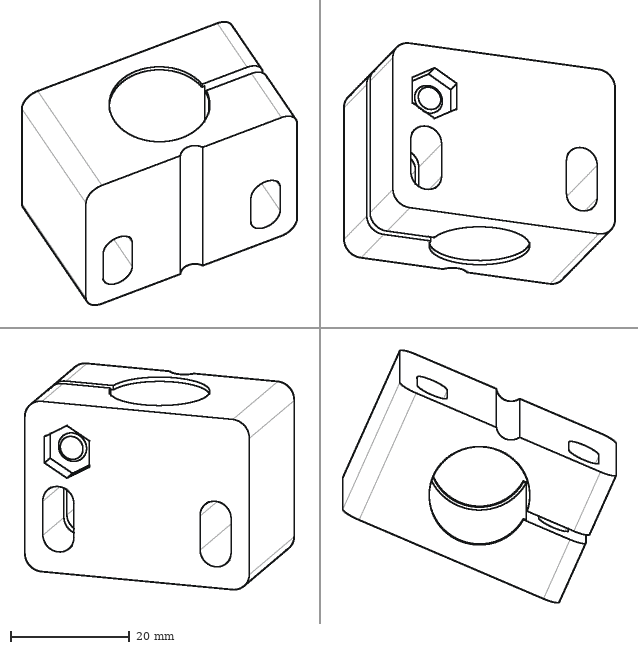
import cadquery as cq
import math

WIDTH = 24.0
LENGTH = 40.0
HEIGHT = 30.0
CORNER_RADIUS = 3.0

BORE_DIAMETER = 17.0
BORE_RELIEF_DIAMETER = 18.0
BORE_LIP = 0.75
GAP_WIDTH = 1.6

GROOVE_RADIUS = 2.5
GROOVE_DEPTH = 1.2

SLOT_SPACING = 28.0
SLOT_WIDTH = 5.5
SLOT_CENTRE_DISTANCE = 6.0
SLOT_HEIGHT_ABOVE_BASE = 9.5

SCREW_DIAMETER = 5.0
SCREW_CHAMFER = 0.5
SCREW_FROM_END = 7.5
SCREW_FROM_TOP = 8.5
NUT_ACROSS_FLATS = 8.0
NUT_POCKET_DEPTH = 3.0

LEFT_FACE = -WIDTH / 2
POCKET_FLOOR = LEFT_FACE + NUT_POCKET_DEPTH
SCREW_Y = LENGTH / 2 - SCREW_FROM_END
SCREW_Z = HEIGHT / 2 - SCREW_FROM_TOP


def block():
    return cq.Workplane("XY").box(WIDTH, LENGTH, HEIGHT).edges("|X").fillet(CORNER_RADIUS)


def clamp_bore():
    bore = cq.Workplane("XY").circle(BORE_DIAMETER / 2).extrude(HEIGHT / 2, both=True)
    relief = (
        cq.Workplane("XY")
        .circle(BORE_RELIEF_DIAMETER / 2)
        .extrude(HEIGHT / 2 - BORE_LIP, both=True)
    )
    return bore.union(relief)


def clamp_gap():
    """Split running from the bore axis out through the +Y end."""
    return cq.Workplane("XY").box(GAP_WIDTH, LENGTH / 2, HEIGHT, centered=(True, False, True))


def locating_groove():
    axis_x = WIDTH / 2 - GROOVE_DEPTH + GROOVE_RADIUS
    return cq.Workplane("XY").center(axis_x, 0).circle(GROOVE_RADIUS).extrude(HEIGHT / 2, both=True)


def mounting_slots():
    centre_z = SLOT_HEIGHT_ABOVE_BASE - HEIGHT / 2
    return (
        cq.Workplane("YZ")
        .pushPoints([(side * SLOT_SPACING / 2, centre_z) for side in (-1, 1)])
        .slot2D(SLOT_CENTRE_DISTANCE + SLOT_WIDTH, SLOT_WIDTH, 90)
        .extrude(WIDTH / 2, both=True)
    )


def nut_pocket():
    """Hexagonal pocket with its corners pointing up and down."""
    across_corners = NUT_ACROSS_FLATS / math.cos(math.pi / 6)
    return (
        cq.Workplane("YZ", origin=(LEFT_FACE, SCREW_Y, SCREW_Z))
        .transformed(rotate=(0, 0, 90))
        .polygon(6, across_corners)
        .extrude(NUT_POCKET_DEPTH)
    )


def clamp_screw():
    """Screw running to the +X face, its chamfered tip standing up from the pocket floor."""
    tip_x = POCKET_FLOOR - SCREW_CHAMFER
    return (
        cq.Workplane("YZ", origin=(tip_x, SCREW_Y, SCREW_Z))
        .circle(SCREW_DIAMETER / 2)
        .extrude(WIDTH / 2 - tip_x)
        .faces("<X")
        .chamfer(SCREW_CHAMFER)
    )


result = (
    block()
    .cut(clamp_bore())
    .cut(clamp_gap())
    .cut(locating_groove())
    .cut(mounting_slots())
    .cut(nut_pocket())
    .union(clamp_screw())
)